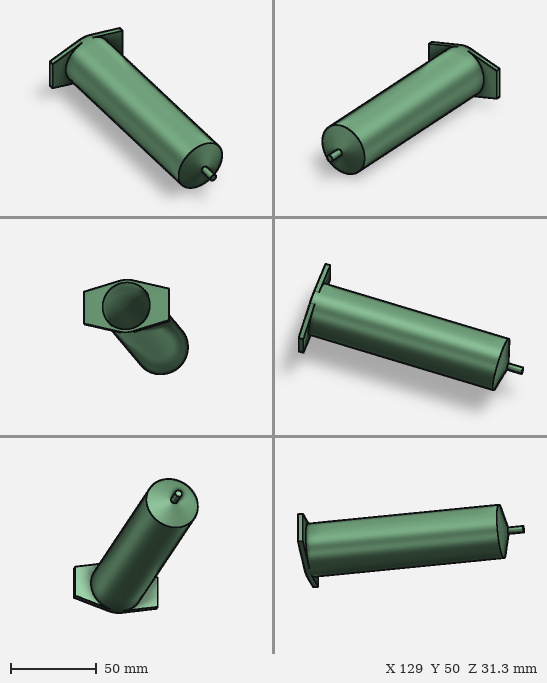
import cadquery as cq
import math

total_length = 129.0
barrel_diameter = 31.3
bore_diameter = 28.0
shoulder_x = 116.0
nozzle_x = 120.0
bore_point_angle = 118.0
nozzle_diameter = 4.0
flange_thickness = 3.0
flange_width = 50.0
flange_end_height = 19.0

barrel_radius = barrel_diameter / 2
bore_radius = bore_diameter / 2
nozzle_radius = nozzle_diameter / 2
bore_floor_x = nozzle_x - bore_radius / math.tan(math.radians(bore_point_angle / 2))
flange_half_width = flange_width / 2
flange_half_height = flange_end_height / 2


def make_body():
    """Barrel, cone and nozzle revolved about X."""
    return (
        cq.Workplane("XY")
        .lineTo(0, barrel_radius)
        .lineTo(shoulder_x, barrel_radius)
        .lineTo(nozzle_x, nozzle_radius)
        .lineTo(total_length, nozzle_radius)
        .lineTo(total_length, 0)
        .close()
        .revolve(360, (0, 0, 0), (1, 0, 0))
    )


def make_flange():
    """Finger flange whose sloping edges run tangent to the barrel; the chords stay inside it."""
    corner_distance = math.hypot(flange_half_width, flange_half_height)
    corner_angle = math.atan2(flange_half_height, flange_half_width)
    tangent_angle = corner_angle + math.acos(barrel_radius / corner_distance)
    tangent_y = barrel_radius * math.cos(tangent_angle)
    tangent_z = barrel_radius * math.sin(tangent_angle)
    return (
        cq.Workplane("YZ")
        .moveTo(flange_half_width, -flange_half_height)
        .lineTo(flange_half_width, flange_half_height)
        .lineTo(tangent_y, tangent_z)
        .lineTo(-tangent_y, tangent_z)
        .lineTo(-flange_half_width, flange_half_height)
        .lineTo(-flange_half_width, -flange_half_height)
        .lineTo(-tangent_y, -tangent_z)
        .lineTo(tangent_y, -tangent_z)
        .close()
        .extrude(flange_thickness)
    )


def make_bore():
    """Bore with a drill-point floor whose tip reaches the foot of the nozzle."""
    return (
        cq.Workplane("XY")
        .lineTo(0, bore_radius)
        .lineTo(bore_floor_x, bore_radius)
        .lineTo(nozzle_x, 0)
        .close()
        .revolve(360, (0, 0, 0), (1, 0, 0))
    )


result = make_body().union(make_flange()).cut(make_bore())